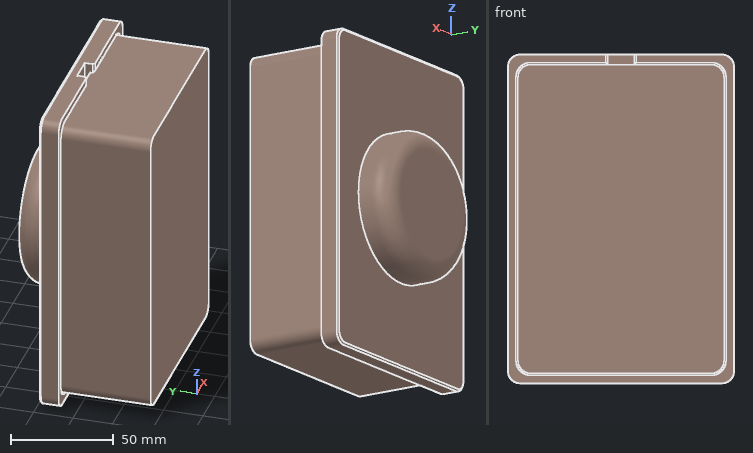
import cadquery as cq

LID_WIDTH = 110.0
LID_HEIGHT = 160.0
LID_THICKNESS = 10.0
SOCKET_DEPTH = 2.2
RIM_WALL = 5.0
CORNER_RADIUS = 6.0
EDGE_CHAMFER = 1.0

CHANNEL_WIDTH = 13.0
CHANNEL_DEPTH = 5.0

BOX_EXPOSED_DEPTH = 45.1
BOX_WIDTH = LID_WIDTH - 2 * RIM_WALL
BOX_HEIGHT = LID_HEIGHT - 2 * RIM_WALL

BUTTON_RADIUS = 37.5
BUTTON_PROJECTION = 18.0
BUTTON_EDGE_RADIUS = 10.0

BOX_FRONT_Y = -BOX_EXPOSED_DEPTH
BOX_BACK_Y = SOCKET_DEPTH
LID_BACK_Y = LID_THICKNESS
BUTTON_BACK_Y = LID_BACK_Y + BUTTON_PROJECTION


def plane_at(y):
    """Workplane at the given Y whose normal points toward +Y."""
    return cq.Workplane(cq.Plane(origin=(0, y, 0), xDir=(1, 0, 0), normal=(0, 1, 0)))


def rounded_block(width, height, start_y, end_y):
    """Rectangular block along Y with its four long edges rounded."""
    block = plane_at(start_y).rect(width, height).extrude(end_y - start_y)
    return block.edges("|Y").fillet(CORNER_RADIUS)


def cylinder_along_y(radius, start_y, end_y):
    return plane_at(start_y).circle(radius).extrude(end_y - start_y)


def make_channel_cutter():
    """Groove from the lid center through its top side, wider at the -Y opening."""
    half_width = CHANNEL_WIDTH / 2
    half_opening = half_width + EDGE_CHAMFER
    half_profile = [
        (half_opening, 0),
        (half_width, EDGE_CHAMFER),
        (half_width, CHANNEL_DEPTH),
    ]
    mirrored_profile = [(-x, y) for x, y in reversed(half_profile)]
    return cq.Workplane("XY").polyline(half_profile + mirrored_profile).close().extrude(LID_HEIGHT / 2)


def make_lid():
    body = rounded_block(LID_WIDTH, LID_HEIGHT, 0, LID_BACK_Y)
    body = body.faces(">Y").chamfer(EDGE_CHAMFER)
    socket = rounded_block(BOX_WIDTH, BOX_HEIGHT, 0, SOCKET_DEPTH)
    body = body.cut(socket)
    socket_opening = body.faces("<Y").val().innerWires()[0]
    body = body.newObject(socket_opening.Edges()).chamfer(EDGE_CHAMFER)
    button_hole = cylinder_along_y(BUTTON_RADIUS, BOX_BACK_Y, LID_BACK_Y)
    return body.cut(make_channel_cutter()).cut(button_hole)


def make_box():
    return rounded_block(BOX_WIDTH, BOX_HEIGHT, BOX_FRONT_Y, BOX_BACK_Y)


def make_button():
    disc = cylinder_along_y(BUTTON_RADIUS, BOX_BACK_Y, BUTTON_BACK_Y)
    return disc.faces(">Y").edges().fillet(BUTTON_EDGE_RADIUS)


lid = make_lid()
box = make_box()
button = make_button()

result = cq.Compound.makeCompound([lid.val(), box.val(), button.val()])